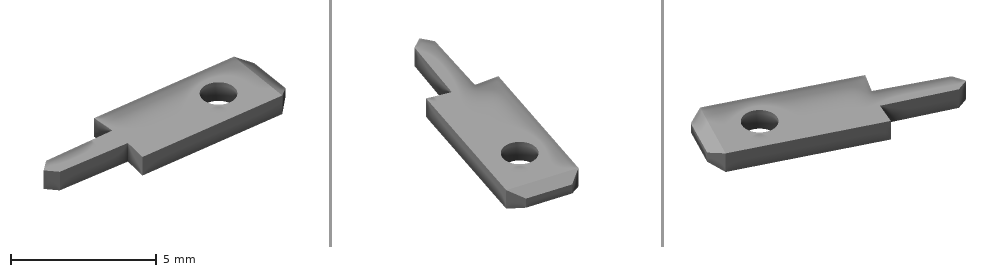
import cadquery as cq

length = 9.7
width = 2.8
thickness = 0.8

lead_in = 0.5
face_taper = 0.2

hole_diameter = 1.3
hole_y = 7.5

shoulder_y = 3.2
pin_root_y = 3.28

pin_root_width = 0.9
pin_end_width = 0.8
pin_point_length = pin_end_width / 2


def make_plate():
    """Flat blade and pin outline, symmetric about the Y axis."""
    right_side = [
        (pin_end_width / 2, pin_point_length),
        (pin_root_width / 2, pin_root_y),
        (width / 2, shoulder_y),
        (width / 2, length - lead_in),
        (width / 2 - lead_in, length),
    ]
    left_side = [(-x, y) for x, y in reversed(right_side)]
    outline = [(0, 0)] + right_side + left_side
    return cq.Workplane("XY").polyline(outline).close().extrude(thickness / 2, both=True)


def make_side_profile():
    """Y-Z envelope whose blade end is tapered on both faces."""
    half = thickness / 2
    upper = [(0, half), (length - lead_in, half), (length, half - face_taper)]
    lower = [(y, -z) for y, z in reversed(upper)]
    return cq.Workplane("YZ").polyline(upper + lower).close().extrude(width / 2, both=True)


def make_hole():
    """Cutter for the round through hole."""
    return (
        cq.Workplane("XY")
        .center(0, hole_y)
        .circle(hole_diameter / 2)
        .extrude(thickness / 2, both=True)
    )


result = make_plate().intersect(make_side_profile()).cut(make_hole())